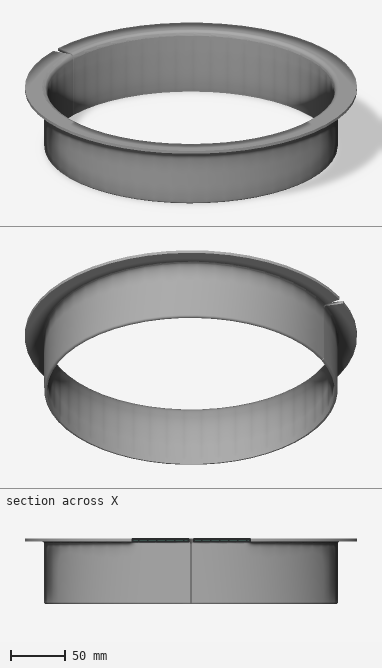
import cadquery as cq

flange_radius = 152.5
sleeve_radius = 134.8
height = 60.0
thickness = 2.7
bend_radius = 1.8
slit_width = 0.5
rim_round = 1.8
notch_mouth = 8.0
notch_root = 2.0

bore_radius = sleeve_radius - thickness
bend_start = sleeve_radius + bend_radius
flange_underside = height - thickness
bend_bottom = flange_underside - bend_radius
outer_bend_radius = bend_radius + thickness
diagonal = 0.5 ** 0.5


def flanged_sleeve():
    """Thin sleeve whose top edge is bent outwards into a flat flange."""
    profile = (
        cq.Workplane("XZ")
        .moveTo(bore_radius, 0)
        .lineTo(sleeve_radius - rim_round, 0)
        .threePointArc(
            (sleeve_radius - rim_round * (1 - diagonal), rim_round * (1 - diagonal)),
            (sleeve_radius, rim_round),
        )
        .lineTo(sleeve_radius, bend_bottom)
        .threePointArc(
            (bend_start - bend_radius * diagonal, bend_bottom + bend_radius * diagonal),
            (bend_start, flange_underside),
        )
        .lineTo(flange_radius, flange_underside)
        .lineTo(flange_radius, height)
        .lineTo(bend_start, height)
        .threePointArc(
            (bend_start - outer_bend_radius * diagonal, bend_bottom + outer_bend_radius * diagonal),
            (bore_radius, bend_bottom),
        )
        .close()
    )
    return profile.revolve(360, (0, 0, 0), (0, 1, 0))


def slit():
    """Narrow cut through the full height on the -X side."""
    return cq.Workplane("XY").center(-flange_radius, 0).rect(flange_radius, slit_width).extrude(height)


def flange_notch():
    """Tapered opening through the flange and bend, widest at the rim."""
    half_slope = (notch_mouth - notch_root) / 2 / (flange_radius - bend_start)
    tip_radius = bend_start - notch_root / 2 / half_slope
    overshoot = 3.0
    outer_half_width = notch_mouth / 2 + half_slope * overshoot
    outer_x = -flange_radius - overshoot
    return (
        cq.Workplane("XY", origin=(0, 0, bend_bottom))
        .polyline([(-tip_radius, 0), (outer_x, outer_half_width), (outer_x, -outer_half_width)])
        .close()
        .extrude(height - bend_bottom)
    )


result = flanged_sleeve().cut(slit()).cut(flange_notch())